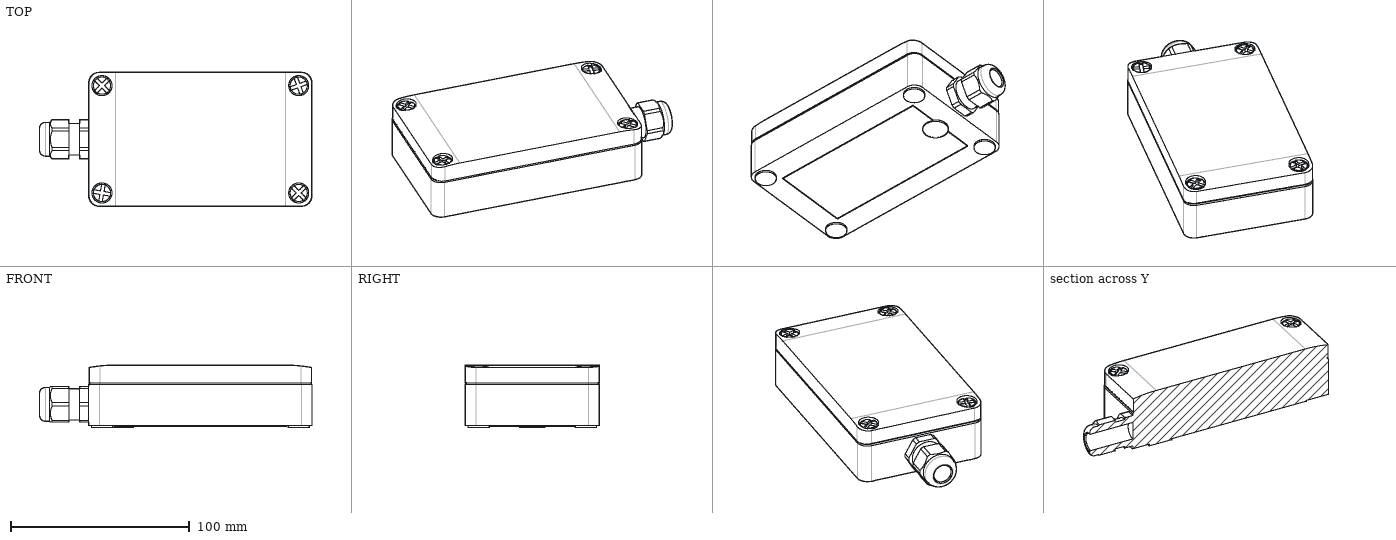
import cadquery as cq
import math

BOX_LENGTH = 125.0
BOX_WIDTH = 75.0
CORNER_RADIUS = 6.0
TOP_Z = 35.0
BASE_BOTTOM_Z = 1.1
LID_BOTTOM_Z = 25.0
BASE_BEVEL = 0.9
LID_END_INSET = 0.3

TOP_ROLL_LENGTH = 15.0
TOP_ROLL_DROP = 1.35

SCREW_INSET = 7.5
SCREW_HOLE_DIAMETER = 11.2
SCREW_HOLE_FLOOR_Z = 33.0
SCREW_HEAD_DIAMETER = 9.6
SCREW_HEAD_TOP_Z = 34.0
CROSS_SLOT_WIDTH = 2.0
CROSS_SLOT_DEPTH = 1.5

FOOT_DIAMETER = 12.0
PAD_HEIGHT = 0.5
PAD_MARGIN = 14.2
PLUG_DIAMETER = 14.4
PLUG_INSET = 17.8

GLAND_Z = 13.0
GLAND_LENGTH = 27.5
HEX_ACROSS_FLATS = 20.0
HEX_CORNER_DIAMETER = 22.0
LOCK_NUT_LENGTH = 5.0
NECK_DIAMETER = 17.7
CAP_START = 11.0
CAP_HEX_END = 21.8
DOME_DIAMETER = 19.0
DOME_RADIUS = 3.4
CAP_CONE_LENGTH = 1.4
BORE_DIAMETER = 10.4
BORE_CHAMFER = 0.6

half_length = BOX_LENGTH / 2
half_width = BOX_WIDTH / 2
screw_x = half_length - SCREW_INSET
screw_y = half_width - SCREW_INSET
SCREWS = [
    (-screw_x, screw_y, 45.0),
    (screw_x, screw_y, 20.0),
    (-screw_x, -screw_y, -10.0),
    (screw_x, -screw_y, 45.0),
]


def rounded_block(length, width, radius, bottom_z, top_z):
    block = cq.Workplane("XY").workplane(offset=bottom_z).rect(length, width).extrude(top_z - bottom_z)
    return block.edges("|Z").fillet(radius)


def disc(x, y, diameter, bottom_z, top_z):
    plane = cq.Workplane("XY", origin=(x, y, bottom_z))
    return plane.circle(diameter / 2).extrude(top_z - bottom_z)


def roll_midpoint(flat_half, end_half):
    """Point half way along the roll arc, which is tangent to the flat top."""
    run = end_half - flat_half
    radius = (run**2 + TOP_ROLL_DROP**2) / (2 * TOP_ROLL_DROP)
    half_angle = math.asin(run / radius) / 2
    return flat_half + radius * math.sin(half_angle), TOP_Z - radius * (1 - math.cos(half_angle))


def make_lid():
    """Lid with a top that rolls down tangentially at both ends."""
    end_x = half_length - LID_END_INSET
    shoulder_z = TOP_Z - TOP_ROLL_DROP
    flat_half = half_length - TOP_ROLL_LENGTH
    middle_x, middle_z = roll_midpoint(flat_half, end_x)
    lid = (
        cq.Workplane("XZ", origin=(0, half_width, 0))
        .moveTo(-end_x, LID_BOTTOM_Z)
        .lineTo(end_x, LID_BOTTOM_Z)
        .lineTo(end_x, shoulder_z)
        .threePointArc((middle_x, middle_z), (flat_half, TOP_Z))
        .lineTo(-flat_half, TOP_Z)
        .threePointArc((-middle_x, middle_z), (-end_x, shoulder_z))
        .close()
        .extrude(BOX_WIDTH)
    )
    outline = rounded_block(2 * end_x, BOX_WIDTH, CORNER_RADIUS, LID_BOTTOM_Z, TOP_Z)
    return lid.intersect(outline)


def make_enclosure():
    base = rounded_block(BOX_LENGTH, BOX_WIDTH, CORNER_RADIUS, BASE_BOTTOM_Z, LID_BOTTOM_Z)
    base = base.faces(">Z").edges().chamfer(BASE_BEVEL)
    return base.union(make_lid())


def add_screw(body, x, y, turn):
    """Sunken screw head with a cross slot, standing in a clearance hole."""
    body = body.cut(disc(x, y, SCREW_HOLE_DIAMETER, SCREW_HOLE_FLOOR_Z, TOP_Z))
    head = disc(x, y, SCREW_HEAD_DIAMETER, SCREW_HOLE_FLOOR_Z, SCREW_HEAD_TOP_Z)
    body = body.union(head)
    slot_floor_z = SCREW_HEAD_TOP_Z - CROSS_SLOT_DEPTH
    arm = cq.Workplane("XY").box(
        SCREW_HEAD_DIAMETER, CROSS_SLOT_WIDTH, CROSS_SLOT_DEPTH, centered=(True, True, False)
    )
    for angle in (turn, turn + 90):
        turned_arm = arm.rotate((0, 0, 0), (0, 0, 1), angle)
        body = body.cut(turned_arm.translate((x, y, slot_floor_z)))
    return body


def add_underside(body):
    panel = cq.Workplane("XY", origin=(0, 0, BASE_BOTTOM_Z - PAD_HEIGHT))
    panel = panel.rect(BOX_LENGTH - 2 * PAD_MARGIN, BOX_WIDTH - 2 * PAD_MARGIN).extrude(PAD_HEIGHT)
    body = body.union(panel)
    for x, y, _ in SCREWS:
        body = body.union(disc(x, y, FOOT_DIAMETER, 0, BASE_BOTTOM_Z))
    return body.union(disc(PLUG_INSET - half_length, 0, PLUG_DIAMETER, 0, BASE_BOTTOM_Z))


def gland_plane(distance):
    """Plane across the gland axis, facing outward, at a distance from the box wall."""
    origin = (-half_length - distance, 0, GLAND_Z)
    return cq.Workplane(cq.Plane(origin=origin, xDir=(0, 1, 0), normal=(-1, 0, 0)))


def hexagon(start, end):
    """Hexagonal prism with flats up and down and turned-down corners."""
    across_corners = HEX_ACROSS_FLATS / math.cos(math.radians(30))
    prism = gland_plane(start).polygon(6, across_corners).extrude(end - start)
    return prism.intersect(gland_plane(start).circle(HEX_CORNER_DIAMETER / 2).extrude(end - start))


def make_gland():
    cap = hexagon(CAP_START, CAP_HEX_END)
    cone = gland_plane(CAP_START).circle(HEX_CORNER_DIAMETER / 2).extrude(CAP_HEX_END - CAP_START)
    cone_rise = (HEX_CORNER_DIAMETER - DOME_DIAMETER) / 2
    cap = cap.intersect(cone.faces("<X").chamfer(CAP_CONE_LENGTH, cone_rise))
    dome = gland_plane(CAP_START).circle(DOME_DIAMETER / 2).extrude(GLAND_LENGTH - CAP_START)
    dome = dome.faces("<X").edges().fillet(DOME_RADIUS)
    neck = gland_plane(0).circle(NECK_DIAMETER / 2).extrude(CAP_START)
    gland = hexagon(0, LOCK_NUT_LENGTH).union(neck).union(cap).union(dome)
    gland = gland.cut(gland_plane(0).circle(BORE_DIAMETER / 2).extrude(GLAND_LENGTH))
    return gland.faces("<X").edges(cq.selectors.RadiusNthSelector(0)).chamfer(BORE_CHAMFER)


result = make_enclosure()
for screw in SCREWS:
    result = add_screw(result, *screw)
result = add_underside(result).union(make_gland())